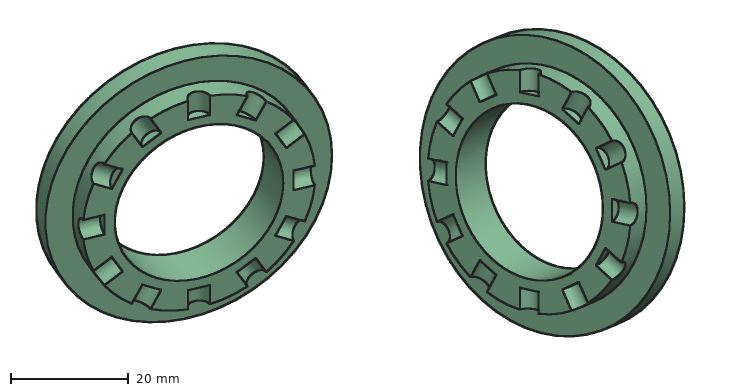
import cadquery as cq

total_length = 8.6
flange_thickness = 4.1
flange_diameter = 52.8
hub_diameter = 42.8
bore_diameter = 31.0

notch_count = 12
notch_diameter = 4.0
notch_floor_radius = 17.4

hub_radius = hub_diameter / 2
notch_clearance = 1.0


def ring_body():
    """Flange with a coaxial hub on its +X side and a through bore."""
    flange = cq.Workplane("YZ").circle(flange_diameter / 2).extrude(flange_thickness)
    hub = cq.Workplane("YZ").circle(hub_radius).extrude(total_length)
    bore = cq.Workplane("YZ").circle(bore_diameter / 2).extrude(total_length)
    return flange.union(hub).cut(bore)


def notch_cutter(angle):
    """Radial cylinder at the hub end face, turned by angle about the X axis."""
    cutter_length = hub_radius + notch_clearance - notch_floor_radius
    cutter = (
        cq.Workplane("XY", origin=(total_length, 0, notch_floor_radius))
        .circle(notch_diameter / 2)
        .extrude(cutter_length)
    )
    return cutter.rotate((0, 0, 0), (1, 0, 0), angle)


result = ring_body()
for index in range(notch_count):
    result = result.cut(notch_cutter(index * 360 / notch_count))